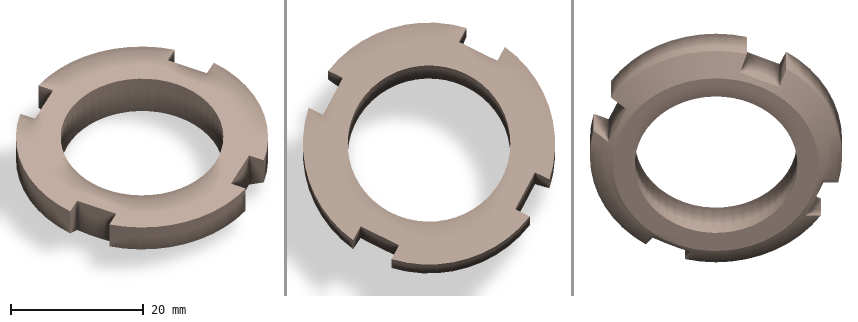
import cadquery as cq

outer_diameter = 38.0
thickness = 7.0
bore_diameter = 24.5

lower_face_diameter = 31.0
chamfer_height = 2.25

slot_count = 4
slot_width = 6.5
slot_floor_distance = 16.25
first_slot_angle = 45.0

outer_radius = outer_diameter / 2
lower_face_radius = lower_face_diameter / 2
bore_radius = bore_diameter / 2


def make_ring():
    """Revolve the half section of the chamfered ring about Z."""
    section = [
        (bore_radius, 0),
        (lower_face_radius, 0),
        (outer_radius, chamfer_height),
        (outer_radius, thickness),
        (bore_radius, thickness),
    ]
    return cq.Workplane("XZ").polyline(section).close().revolve(360, (0, 0), (0, 1))


def make_slot_cutter(angle):
    """Block that cuts one flat-floored slot through the full thickness."""
    block = cq.Workplane("XY").box(
        outer_radius, slot_width, thickness, centered=(False, True, False)
    )
    return block.translate((slot_floor_distance, 0, 0)).rotate((0, 0, 0), (0, 0, 1), angle)


result = make_ring()
for index in range(slot_count):
    slot_angle = first_slot_angle + index * 360 / slot_count
    result = result.cut(make_slot_cutter(slot_angle))